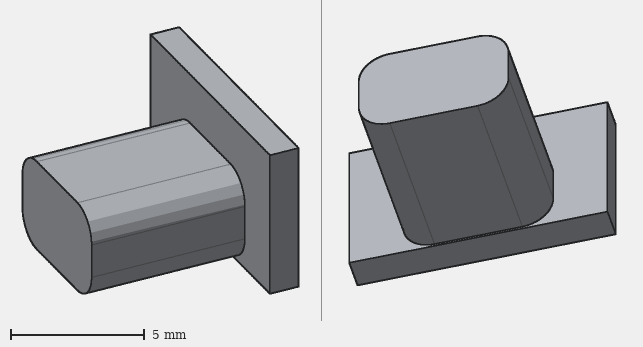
import cadquery as cq

PLATE_WIDTH = 10.0
PLATE_THICKNESS = 1.2
PLATE_HEIGHT = 6.0

OVERALL_DEPTH = 7.6
STEM_LENGTH = OVERALL_DEPTH - PLATE_THICKNESS
STEM_MARGIN = 2.1
STEM_BOTTOM_GAP = 0.1
STEM_WIDTH = PLATE_WIDTH - 2 * STEM_MARGIN
STEM_HEIGHT = PLATE_HEIGHT - STEM_MARGIN - STEM_BOTTOM_GAP
STEM_EDGE_RADIUS = 1.2


def make_plate():
    """Plate with its front face on Y = 0 and its bottom on Z = 0."""
    return cq.Workplane("XY").box(
        PLATE_WIDTH, PLATE_THICKNESS, PLATE_HEIGHT, centered=(True, False, False)
    )


def make_stem():
    """Rounded stem running from the plate's front face to its free end."""
    return (
        cq.Workplane("XY")
        .box(STEM_WIDTH, STEM_LENGTH, STEM_HEIGHT, centered=(True, False, False))
        .edges("|Y")
        .fillet(STEM_EDGE_RADIUS)
        .translate((0, -STEM_LENGTH, STEM_BOTTOM_GAP))
    )


result = make_plate().union(make_stem())